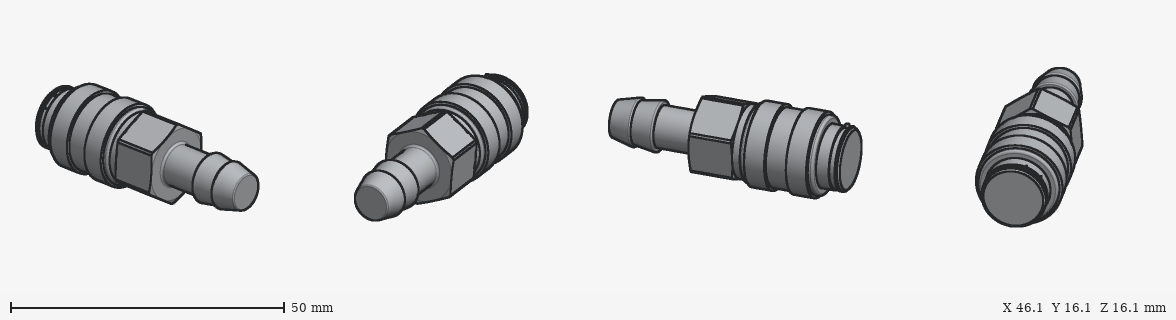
import cadquery as cq
import math

LENGTH = 46.15

NOSE_DIAMETER = 12.0
NOSE_CHAMFER = 0.4

GROOVE_START = 0.88
GROOVE_WIDTH = 1.15
GROOVE_DIAMETER = 11.4

LUG_DIAMETER = 0.9
LUG_THICKNESS = 0.1
LUG_ROOT_DEPTH = 0.05
LUG_ANGLES = (19.5, 49.0)

SLEEVE_START = 4.48
SLEEVE_END = 19.05
SLEEVE_DIAMETER = 15.1
SLEEVE_BORE_DIAMETER = 12.15
SLEEVE_EDGE_RADIUS = 0.55
COLLAR_DIAMETER = 16.15
COLLAR_WIDTH = 4.25
COLLAR_STARTS = (5.55, 13.75)
COLLAR_FLANK_WIDTH = 0.15

HEX_START = 20.6
HEX_END = 29.15
HEX_ACROSS_FLATS = 14.0
HEX_CORNER_DIAMETER = 15.85
HEX_TURN_ANGLE = 25.0
HEX_FRONT_BEVEL = 0.15
HEX_REAR_BEVEL = 0.28
NECK_DIAMETER = HEX_ACROSS_FLATS

STEM_DIAMETER = 8.05
STEM_ROOT_RADIUS = 0.45
BARB_1_START = 37.15
BARB_1_DIAMETER = 9.85
BARB_1_END_DIAMETER = 8.4
BARB_2_START = 41.6
BARB_2_DIAMETER = 9.4
TIP_DIAMETER = 7.05
BARB_EDGE_RADIUS = 0.28


def cylinder(start, end, diameter):
    """Round bar along X between two stations."""
    return cq.Workplane("YZ", origin=(start, 0, 0)).circle(diameter / 2).extrude(end - start)


def revolve_outline(points):
    """Solid of revolution about X from (station, radius) points."""
    return cq.Workplane("XY").polyline(points).close().revolve(360, (0, 0, 0), (1, 0, 0))



def make_nose():
    nose = cylinder(0, SLEEVE_END, NOSE_DIAMETER).faces("<X").edges().chamfer(NOSE_CHAMFER)
    groove_end = GROOVE_START + GROOVE_WIDTH
    groove = cylinder(GROOVE_START, groove_end, NOSE_DIAMETER)
    groove = groove.cut(cylinder(GROOVE_START, groove_end, GROOVE_DIAMETER))
    return nose.cut(groove)


def make_lug(angle):
    """Disc standing radially in the groove, its lowest point sunk slightly into the floor."""
    centre_radius = (GROOVE_DIAMETER + LUG_DIAMETER) / 2 - LUG_ROOT_DEPTH
    return (
        cq.Workplane("XZ", origin=(GROOVE_START + GROOVE_WIDTH / 2, LUG_THICKNESS / 2, centre_radius))
        .circle(LUG_DIAMETER / 2)
        .extrude(LUG_THICKNESS)
        .rotate((0, 0, 0), (1, 0, 0), angle)
    )


def make_hexagon():
    across_corners = HEX_ACROSS_FLATS / math.cos(math.radians(30))
    prism = (
        cq.Workplane("YZ", origin=(HEX_START, 0, 0))
        .polygon(6, across_corners)
        .extrude(HEX_END - HEX_START)
        .rotate((0, 0, 0), (1, 0, 0), HEX_TURN_ANGLE)
    )
    turned_envelope = revolve_outline([
        (HEX_START, 0),
        (HEX_START, HEX_ACROSS_FLATS / 2),
        (HEX_START + HEX_FRONT_BEVEL, HEX_CORNER_DIAMETER / 2),
        (HEX_END - HEX_REAR_BEVEL, HEX_CORNER_DIAMETER / 2),
        (HEX_END, HEX_ACROSS_FLATS / 2),
        (HEX_END, 0),
    ])
    return prism.intersect(turned_envelope)


def make_stem_root():
    """Concave round between the hexagon and the stem."""
    stem_radius = STEM_DIAMETER / 2
    root_end = HEX_END + STEM_ROOT_RADIUS
    arc_middle_offset = STEM_ROOT_RADIUS * (1 - math.sqrt(0.5))
    arc_middle = (HEX_END + arc_middle_offset, stem_radius + arc_middle_offset)
    return (
        cq.Workplane("XY")
        .moveTo(HEX_END, 0)
        .lineTo(HEX_END, stem_radius + STEM_ROOT_RADIUS)
        .threePointArc(arc_middle, (root_end, stem_radius))
        .lineTo(root_end, 0)
        .close()
        .revolve(360, (0, 0, 0), (1, 0, 0))
    )


def make_barb(start, end, start_diameter, end_diameter):
    """Cone tapering towards +X, with its large edge rounded."""
    cone = revolve_outline([
        (start, 0),
        (start, start_diameter / 2),
        (end, end_diameter / 2),
        (end, 0),
    ])
    return cone.faces("<X").edges().fillet(BARB_EDGE_RADIUS)


def make_barbed_stem():
    stem = cylinder(HEX_END, BARB_1_START, STEM_DIAMETER)
    barb_1 = make_barb(BARB_1_START, BARB_2_START, BARB_1_DIAMETER, BARB_1_END_DIAMETER)
    barb_2 = make_barb(BARB_2_START, LENGTH, BARB_2_DIAMETER, TIP_DIAMETER)
    barb_2 = barb_2.faces(">X").edges().fillet(BARB_EDGE_RADIUS)
    return stem.union(barb_1).union(barb_2)


def make_core():
    core = make_nose()
    for angle in LUG_ANGLES:
        core = core.union(make_lug(angle))
    neck = cylinder(SLEEVE_END, HEX_START, NECK_DIAMETER)
    for section in (neck, make_hexagon(), make_stem_root(), make_barbed_stem()):
        core = core.union(section)
    return core



def make_collar(start):
    """Raised grip band with steep conical flanks."""
    end = start + COLLAR_WIDTH
    return revolve_outline([
        (start, 0),
        (start, SLEEVE_DIAMETER / 2),
        (start + COLLAR_FLANK_WIDTH, COLLAR_DIAMETER / 2),
        (end - COLLAR_FLANK_WIDTH, COLLAR_DIAMETER / 2),
        (end, SLEEVE_DIAMETER / 2),
        (end, 0),
    ])


def make_sleeve():
    """Bored tube that clears the nose and rests its rear face against the neck."""
    sleeve = cylinder(SLEEVE_START, SLEEVE_END, SLEEVE_DIAMETER)
    sleeve = sleeve.faces("<X or >X").edges().fillet(SLEEVE_EDGE_RADIUS)
    for start in COLLAR_STARTS:
        sleeve = sleeve.union(make_collar(start))
    return sleeve.cut(cylinder(SLEEVE_START, SLEEVE_END, SLEEVE_BORE_DIAMETER))


core = make_core()
sleeve = make_sleeve()

result = cq.Compound.makeCompound([core.solids().val(), sleeve.solids().val()])